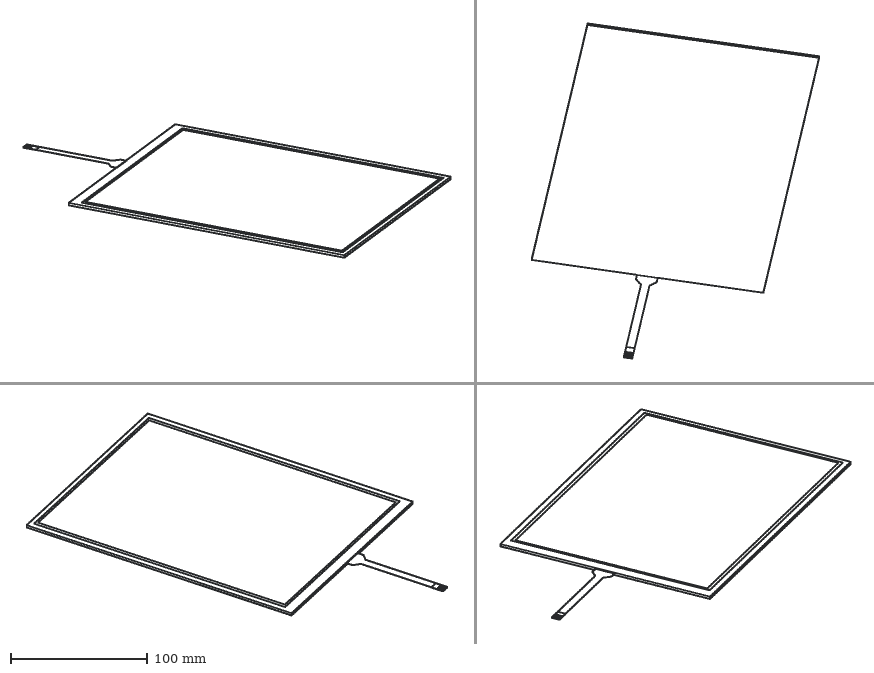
import cadquery as cq

overall_length = 307.0
panel_width = 173.0
panel_thickness = 2.1
tail_length = 79.8
panel_length = overall_length - tail_length

groove_left_margin = 8.3
groove_right_margin = 3.7
groove_side_margin = 4.5
groove_end_width = 1.8
groove_side_width = 2.8
groove_depth = 0.1

tail_width = 6.5
root_width = 15.7
root_length = 5.2
taper_length = 4.3
tail_thickness = 0.3
tail_bottom = 1.2
tail_embed = 1.5

contact_count = 4
contact_length = 5.2
contact_width = 1.0
contact_pitch = 1.5
contact_height = 0.05
stiffener_length = 10.0
stiffener_thickness = 0.15


def block(x_start, length, width, z_bottom, height, y_center=0.0):
    """Box that starts at x_start and is centred on y_center."""
    return (
        cq.Workplane("XY")
        .box(length, width, height, centered=(False, True, False))
        .translate((x_start, y_center, z_bottom))
    )


def make_panel():
    panel = block(tail_length, panel_length, panel_width, 0, panel_thickness)
    groove_start = tail_length + groove_left_margin
    groove_length = panel_length - groove_left_margin - groove_right_margin
    groove_width = panel_width - 2 * groove_side_margin
    groove_floor = panel_thickness - groove_depth
    outer = block(groove_start, groove_length, groove_width, groove_floor, groove_depth)
    active_area = block(
        groove_start + groove_end_width,
        groove_length - 2 * groove_end_width,
        groove_width - 2 * groove_side_width,
        groove_floor,
        groove_depth,
    )
    return panel.cut(outer.cut(active_area))


def make_tail():
    root_start = tail_length - root_length
    taper_start = root_start - taper_length
    root_end = tail_length + tail_embed
    upper_edge = [
        (0, tail_width / 2),
        (taper_start, tail_width / 2),
        (root_start, root_width / 2),
        (root_end, root_width / 2),
    ]
    lower_edge = [(x, -y) for x, y in reversed(upper_edge)]
    film = (
        cq.Workplane("XY", origin=(0, 0, tail_bottom))
        .polyline(upper_edge + lower_edge)
        .close()
        .extrude(tail_thickness)
    )
    stiffener_bottom = tail_bottom - stiffener_thickness
    stiffener = block(0, stiffener_length, tail_width, stiffener_bottom, stiffener_thickness)
    return film.union(stiffener)


def make_contact(index):
    y_center = (index - (contact_count - 1) / 2) * contact_pitch
    contact_bottom = tail_bottom + tail_thickness
    return block(0, contact_length, contact_width, contact_bottom, contact_height, y_center)


result = make_panel().union(make_tail())
for contact_index in range(contact_count):
    result = result.union(make_contact(contact_index))